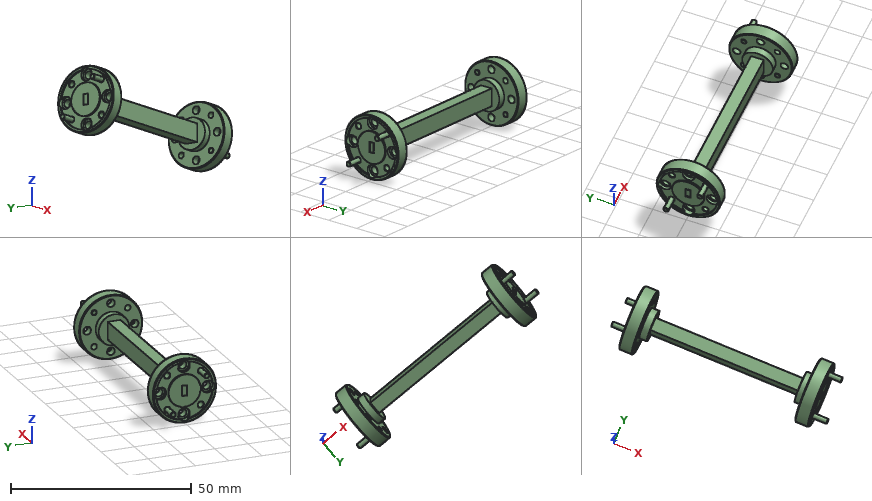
import cadquery as cq
import math

total_length = 64.9
pin_projection = 3.9
flange_thickness = 4.1
hub_length = 2.2

flange_diameter = 19.1
edge_chamfer = 0.25
hub_diameter = 9.2

recess_outer_diameter = 17.15
recess_inner_diameter = 9.6
recess_depth = 0.5

pitch_radius = 7.15
bolt_hole_diameter = 2.3
counterbore_diameter = 3.6
counterbore_depth = 1.5
socket_diameter = 1.7
pin_diameter = 1.55
pin_chamfer = 0.1
dowel_hole_flare = 0.1
bolt_angles = [0, 90, 180, 270]
left_pin_angles = [135, 315]
right_pin_angles = [45, 225]

bar_width = 3.8
bar_height = 5.3
port_width = 1.5
port_height = 3.05
port_depth = 0.3

pin_tip_x = total_length / 2
face_x = pin_tip_x - pin_projection
recess_floor_x = face_x - recess_depth
flange_back_x = face_x - flange_thickness
hub_end_x = flange_back_x - hub_length
pin_length = pin_projection + flange_thickness


def disc(diameter, x_start, length):
    """Cylinder along X, centred on the axis, running from x_start toward +X."""
    return cq.Workplane("YZ", origin=(x_start, 0, 0)).circle(diameter / 2).extrude(length)


def pitch_point(angle):
    """(Y, Z) position on the pitch circle, the angle in degrees from +Y toward +Z."""
    radians = math.radians(angle)
    return pitch_radius * math.cos(radians), pitch_radius * math.sin(radians)


def cylinders_on_pitch(diameter, x_start, length, angles):
    """Separate X-axis cylinders at the given pitch circle angles."""
    points = [pitch_point(angle) for angle in angles]
    return cq.Workplane("YZ", origin=(x_start, 0, 0)).pushPoints(points).circle(diameter / 2).extrude(length)


def mirrored(shape):
    """Copy of a shape reflected to the other end of the part."""
    return shape.mirror("YZ")


def dowel_hole_cutters(diameter, angles):
    """Through-hole cutters for the dowels, each flared at 45 degrees where it meets the recess floor."""
    holes = cylinders_on_pitch(diameter, flange_back_x, recess_floor_x - flange_back_x, angles)
    mouth_radius = diameter / 2 + dowel_hole_flare
    cone = cq.Solid.makeCone(mouth_radius, 0, mouth_radius, dir=cq.Vector(-1, 0, 0))
    for angle in angles:
        y, z = pitch_point(angle)
        holes = holes.union(cq.Workplane(cone.translate(cq.Vector(recess_floor_x, y, z))))
    return holes


def make_right_flange(pin_angles, socket_angles):
    """Flange at the +X end, its mating face toward +X."""
    flange = disc(flange_diameter, flange_back_x, flange_thickness).edges().chamfer(edge_chamfer)
    flange = flange.union(disc(hub_diameter, hub_end_x, hub_length))

    recess = disc(recess_outer_diameter, recess_floor_x, recess_depth)
    recess = recess.cut(disc(recess_inner_diameter, recess_floor_x, recess_depth))
    flange = flange.cut(recess)

    port = cq.Workplane("YZ", origin=(face_x - port_depth, 0, 0)).rect(port_width, port_height)
    flange = flange.cut(port.extrude(port_depth))

    flange = flange.cut(
        cylinders_on_pitch(bolt_hole_diameter, flange_back_x, flange_thickness, bolt_angles)
    )
    counterbore_x = face_x - counterbore_depth
    flange = flange.cut(
        cylinders_on_pitch(counterbore_diameter, counterbore_x, counterbore_depth, bolt_angles)
    )
    flange = flange.cut(dowel_hole_cutters(socket_diameter, socket_angles))
    return flange.cut(dowel_hole_cutters(pin_diameter, pin_angles))


def make_waveguide():
    """One-piece bar with a flange at each end."""
    bar = cq.Workplane("XY").box(2 * hub_end_x, bar_width, bar_height)
    right_flange = make_right_flange(right_pin_angles, left_pin_angles)
    left_flange = mirrored(make_right_flange(left_pin_angles, right_pin_angles))
    return bar.union(right_flange).union(left_flange)


def make_right_pins(angles):
    """Dowel pins of the +X flange, flush with the back of the flange and chamfered at both ends."""
    pins = cylinders_on_pitch(pin_diameter, flange_back_x, pin_length, angles)
    return pins.faces("<X or >X").chamfer(pin_chamfer)


waveguide = make_waveguide()
right_pins = make_right_pins(right_pin_angles)
left_pins = mirrored(make_right_pins(left_pin_angles))

result = cq.Compound.makeCompound(
    [waveguide.solids().val(), *right_pins.solids().vals(), *left_pins.solids().vals()]
)